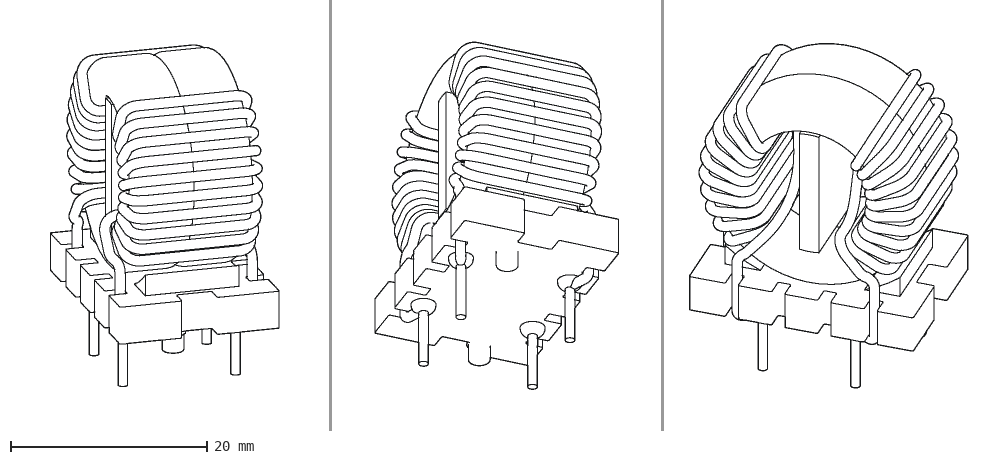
import cadquery as cq
import math

base_length = 24.2
base_width = 17.0
base_height = 4.0
edge_radius = 0.2
notch_width = 1.4
notch_depth = 1.98
inner_notch_x = 2.48
outer_notch_x = 7.5
end_slot_width = 3.75
end_slot_depth = 1.98

cradle_length = 18.88
cradle_width = 9.95
cradle_height = 2.25
cradle_radius = 15.0

peg_diameter = 2.25
peg_height = 1.9
peg_edge_radius = 0.15
peg_places = [(-8.25, 2.25), (10.13, -2.25)]

core_diameter = 22.0
bore_diameter = 14.0
core_width = 6.2
core_edge_radius = 1.0

divider_thickness = 2.1
divider_width = 12.0

wire_diameter = 1.05
bend_radius = 1.52
turn_count = 10
turn_step = 10.0
first_turn_angle = 130.0
bow_x = -3.25
bow_end_inset = 0.33
lead_foot_bend = 0.55
lead_elbow_bend = 1.05
lead_jog_bend = 1.3
lead_jog_start = 0.9
lead_jog_length = 0.82
lead_over_bend = 1.8
lead_clearance = 0.03

pin_x = 5.0
pin_y = 6.0
pin_diameter = 1.0
pin_length = 7.0
solder_radius = 1.3
solder_height = 1.0

core_radius = core_diameter / 2
bore_radius = bore_diameter / 2
wire_radius = wire_diameter / 2
axis_z = base_height + core_radius
last_turn_angle = first_turn_angle + turn_step * (turn_count - 1)
lead_angle = last_turn_angle + turn_step
outer_turn_radius = core_radius + wire_radius
inner_turn_radius = bore_radius - wire_radius
turn_y = core_width + wire_radius
lead_y = base_width / 2 - notch_depth + wire_radius
bow_end_y = core_width - core_edge_radius - bow_end_inset


def block(length, width, height, x, y, z):
    return cq.Workplane("XY").box(length, width, height, centered=(True, True, False)).translate((x, y, z))


def make_base():
    base = block(base_length, base_width, base_height, 0, 0, 0)
    for side in (-1, 1):
        for x in (-outer_notch_x, -inner_notch_x, inner_notch_x, outer_notch_x):
            base = base.cut(block(notch_width, 2 * notch_depth, base_height, x, side * base_width / 2, 0))
        base = base.cut(block(2 * end_slot_depth, end_slot_width, base_height, side * base_length / 2, 0, 0))
    base = base.edges("|Z").fillet(edge_radius)
    base = base.union(make_cradle())
    for x, y in peg_places:
        base = base.union(make_peg().translate((x, y, 0)))
    return base


def make_cradle():
    """Two wedges left of a block hollowed by a cylinder along Y."""
    cradle_top = base_height + cradle_height
    cylinder_z = cradle_top + math.sqrt(cradle_radius**2 - (cradle_length / 2) ** 2)
    cylinder = cq.Workplane("XZ").center(0, cylinder_z).circle(cradle_radius)
    cradle = block(cradle_length, cradle_width, cradle_height, 0, 0, base_height)
    return cradle.cut(cylinder.extrude(cradle_width / 2, both=True))


def make_peg():
    """Round peg with a flared root and a rounded tip."""
    radius = peg_diameter / 2
    return (
        cq.Workplane("XZ")
        .lineTo(radius + peg_edge_radius, 0)
        .radiusArc((radius, -peg_edge_radius), -peg_edge_radius)
        .lineTo(radius, peg_edge_radius - peg_height)
        .radiusArc((radius - peg_edge_radius, -peg_height), peg_edge_radius)
        .lineTo(0, -peg_height)
        .close()
        .revolve(360, (0, 0, 0), (0, 1, 0))
    )


def make_core(side):
    """Ring around the Y axis, on the -Y or +Y side of the middle plane."""
    ring = cq.Workplane("XZ").circle(core_radius).circle(bore_radius).extrude(-core_width)
    ring = ring.edges().fillet(core_edge_radius)
    return ring.translate((0, min(0, side) * core_width, axis_z))


def make_divider():
    """Plate standing in the bore, its ends curved to fit the bore."""
    plate = cq.Workplane("XY").box(divider_thickness, divider_width, bore_diameter)
    bore = cq.Workplane("XZ").circle(bore_radius).extrude(divider_width / 2, both=True)
    return plate.intersect(bore).translate((0, 0, axis_z))


def ring_point(radius, angle, y):
    turn = math.radians(angle)
    return cq.Vector(radius * math.cos(turn), y, axis_z + radius * math.sin(turn))


def bent_path(corners):
    """Edges of a path through (point, bend radius) corners; the two ends have no bend."""
    edges = []
    start = corners[0][0]
    for i in range(1, len(corners) - 1):
        corner, radius = corners[i]
        back = (corners[i - 1][0] - corner).normalized()
        ahead = (corners[i + 1][0] - corner).normalized()
        half_angle = back.getAngle(ahead) / 2
        setback = radius / math.tan(half_angle)
        arc_start = corner + back * setback
        arc_end = corner + ahead * setback
        bisector = (back + ahead).normalized()
        arc_middle = corner + bisector * (radius / math.sin(half_angle) - radius)
        edges.append(cq.Edge.makeLine(start, arc_start))
        edges.append(cq.Edge.makeThreePointArc(arc_start, arc_middle, arc_end))
        start = arc_end
    edges.append(cq.Edge.makeLine(start, corners[-1][0]))
    return edges


def lead_corners(strand_y):
    """Corners from the pin to the strand at strand_y: along the base, up the notch, jog in Y."""
    side = math.copysign(1, strand_y)
    foot_z = -wire_radius - lead_clearance
    elbow = ring_point(outer_turn_radius, lead_angle, side * lead_y)
    jog_outer_radius = outer_turn_radius - lead_jog_start
    jog_inner_radius = jog_outer_radius - lead_jog_length
    return [
        (cq.Vector(-pin_x, side * pin_y, foot_z), 0),
        (cq.Vector(elbow.x, elbow.y, foot_z), lead_foot_bend),
        (elbow, lead_elbow_bend),
        (ring_point(jog_outer_radius, lead_angle, side * lead_y), lead_jog_bend),
        (ring_point(jog_inner_radius, lead_angle, strand_y), lead_jog_bend),
    ]


def coil_corners():
    """Back lead, then the turns from the lowest up, then the strand entering the bore at the back."""
    corners = lead_corners(turn_y)
    for turn in range(turn_count):
        outer_angle = last_turn_angle - turn_step * turn
        inner_angle = outer_angle + turn_step
        corners.append((ring_point(inner_turn_radius, inner_angle, turn_y), bend_radius))
        corners.append((ring_point(inner_turn_radius, inner_angle, -turn_y), bend_radius))
        corners.append((ring_point(outer_turn_radius, outer_angle, -turn_y), bend_radius))
        corners.append((ring_point(outer_turn_radius, outer_angle, turn_y), bend_radius))
    corners.append((ring_point(inner_turn_radius, first_turn_angle, turn_y), bend_radius))
    corners.append((ring_point(inner_turn_radius, first_turn_angle, bow_end_y), 0))
    return corners


def front_lead_corners():
    """Out of the bore, over the front of the turns, then down to the pin."""
    over_y = -turn_y - wire_diameter
    over_radius = inner_turn_radius - wire_diameter
    corners = [
        (ring_point(over_radius, lead_angle, -bow_end_y), 0),
        (ring_point(over_radius, lead_angle, over_y), lead_over_bend),
    ]
    return corners + lead_corners(over_y)[::-1]


def make_winding():
    coil = coil_corners()
    front_lead = front_lead_corners()
    forward = cq.Vector(0, -1, 0)
    bow_points = [coil[-1][0], cq.Vector(bow_x, 0, axis_z), front_lead[0][0]]
    bow = cq.Edge.makeSpline(bow_points, tangents=[forward, forward])
    path = cq.Wire.assembleEdges(bent_path(coil) + [bow] + bent_path(front_lead))
    profile = cq.Workplane(cq.Plane(path.startPoint(), normal=path.tangentAt(0))).circle(wire_radius)
    winding = profile.sweep(cq.Workplane(path))
    for side in (-1, 1):
        winding = winding.union(make_pin().translate((-pin_x, side * pin_y, 0)))
    return winding


def make_pin():
    """Round pin hanging from a solder dome under the base."""
    pin_radius = pin_diameter / 2
    arc_center = solder_radius - solder_height
    arc_end_z = -math.sqrt(solder_height**2 - (pin_radius - arc_center) ** 2)
    return (
        cq.Workplane("XZ")
        .lineTo(solder_radius, 0)
        .radiusArc((pin_radius, arc_end_z), solder_height)
        .lineTo(pin_radius, -pin_length)
        .lineTo(0, -pin_length)
        .close()
        .revolve(360, (0, 0, 0), (0, 1, 0))
    )


base = make_base()
cores = [make_core(side) for side in (-1, 1)]
divider = make_divider()
left_winding = make_winding()
windings = [left_winding, left_winding.mirror("YZ")]

result = cq.Compound.makeCompound(
    [base.val(), *[core.val() for core in cores], divider.val(), *[winding.val() for winding in windings]]
)